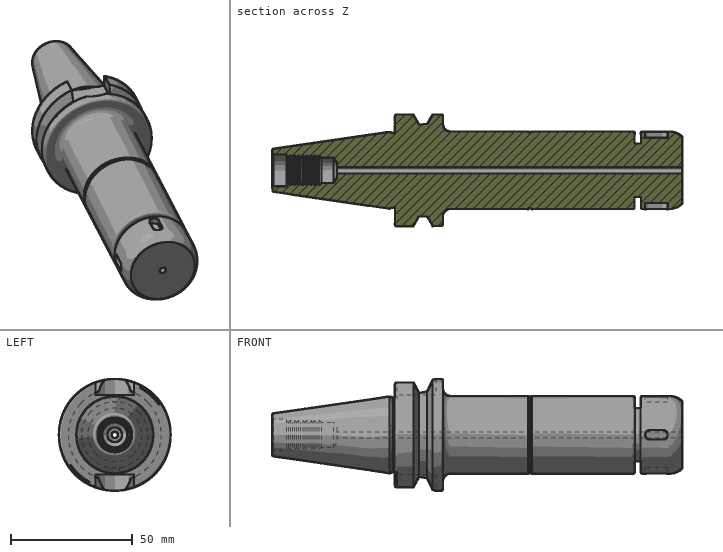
import cadquery as cq
import math

total_length = 168.4
body_radius = 32.0 / 2

shank_taper = 7 / 48
shank_length = 48.2
shank_big_radius = 15.8
shank_small_radius = shank_big_radius - shank_length * shank_taper
shank_end_round = 0.8
relief_start = 49.3
relief_radius = 30.8 / 2

flange_start = 50.4
flange_end = 70.2
flange_radius = 46.0 / 2
flange_edge = 1.0
groove_center = 62.0
groove_floor_width = 3.4
groove_radius = 19.0
groove_flank = (flange_radius - groove_radius) * math.tan(math.radians(30))
flange_fillet = 2.9

keyway_width = 16.0
keyway_end = 67.2
keyway_floor = 16.3

body_end = 148.9
body_edge = 1.0
seam_start = 105.0
seam_width = 1.5
seam_depth = 0.5

neck_radius = 22.0 / 2
nut_start = 151.2
nut_edge = 1.0
nut_round_start = 163.0
nut_face_radius = 13.6
nut_slot_count = 4
nut_slot_start = 153.0
nut_slot_length = 9.3
nut_slot_width = 3.9
nut_slot_depth = 2.5

mouth_radius = 13.0 / 2
mouth_chamfer = 0.7
mouth_depth = 5.9
thread_major_radius = 12.0 / 2
thread_minor_radius = 10.3 / 2
thread_pitch = 1.7
thread_count = 8
tap_depth = 25.3
drill_tip_radius = 6.0 / 2
drill_tip_length = 1.3
coolant_radius = 2.5 / 2


def revolve(outline):
    """Turn a closed (x, radius) outline about the X axis."""
    return outline.close().revolve(360, (0, 0, 0), (1, 0, 0))


def make_turned_body():
    """Solid holder and nut, before any cuts."""
    groove_left = groove_center - groove_floor_width / 2
    groove_right = groove_center + groove_floor_width / 2
    seam_middle = seam_start + seam_width / 2
    round_length = total_length - nut_round_start
    round_drop = body_radius - nut_face_radius
    round_radius = (round_length**2 + round_drop**2) / (2 * round_drop)
    half_length = round_length / 2
    half_drop = round_radius - math.sqrt(round_radius**2 - half_length**2)
    outline = (
        cq.Workplane("XY")
        .moveTo(0, 0)
        .lineTo(0, shank_small_radius - shank_end_round)
        .tangentArcPoint((shank_end_round, shank_end_round * (1 + shank_taper)))
        .lineTo(shank_length, shank_big_radius)
        .lineTo(relief_start, relief_radius)
        .lineTo(flange_start, relief_radius)
        .lineTo(flange_start, flange_radius - flange_edge)
        .radiusArc((flange_start + flange_edge, flange_radius), flange_edge)
        .lineTo(groove_left - groove_flank, flange_radius)
        .lineTo(groove_left, groove_radius)
        .lineTo(groove_right, groove_radius)
        .lineTo(groove_right + groove_flank, flange_radius)
        .lineTo(flange_end - flange_edge, flange_radius)
        .radiusArc((flange_end, flange_radius - flange_edge), flange_edge)
        .lineTo(flange_end, body_radius + flange_fillet)
        .radiusArc((flange_end + flange_fillet, body_radius), -flange_fillet)
        .lineTo(seam_start, body_radius)
        .lineTo(seam_middle, body_radius - seam_depth)
        .lineTo(seam_start + seam_width, body_radius)
        .lineTo(body_end - body_edge, body_radius)
        .radiusArc((body_end, body_radius - body_edge), body_edge)
        .lineTo(body_end, neck_radius)
        .lineTo(nut_start, neck_radius)
        .lineTo(nut_start, body_radius - nut_edge)
        .radiusArc((nut_start + nut_edge, body_radius), nut_edge)
        .lineTo(nut_round_start, body_radius)
        .threePointArc(
            (nut_round_start + half_length, body_radius - half_drop),
            (total_length, nut_face_radius),
        )
        .lineTo(total_length, 0)
    )
    return revolve(outline)


def make_keyway():
    """Cutter for the upper keyway: open toward the shank, round at the far end."""
    straight_end = keyway_end - keyway_width / 2
    height = flange_radius - keyway_floor
    return (
        cq.Workplane("XY", origin=(0, 0, keyway_floor))
        .moveTo(flange_start, -keyway_width / 2)
        .lineTo(straight_end, -keyway_width / 2)
        .threePointArc((keyway_end, 0), (straight_end, keyway_width / 2))
        .lineTo(flange_start, keyway_width / 2)
        .close()
        .extrude(height)
    )


def make_nut_slot():
    """Cutter for the wrench slot at the top of the nut."""
    slot_center = nut_slot_start + nut_slot_length / 2
    return (
        cq.Workplane("XY", origin=(slot_center, 0, body_radius - nut_slot_depth))
        .slot2D(nut_slot_length, nut_slot_width)
        .extrude(2 * nut_slot_depth)
    )


def make_bore():
    """Cutter for the threaded shank bore and the coolant hole through to the nut."""
    outline = (
        cq.Workplane("XY")
        .moveTo(0, 0)
        .lineTo(0, mouth_radius + mouth_chamfer)
        .lineTo(mouth_chamfer, mouth_radius)
        .lineTo(mouth_depth, mouth_radius)
        .lineTo(mouth_depth, thread_major_radius)
    )
    for turn in range(thread_count):
        turn_start = mouth_depth + turn * thread_pitch
        outline = outline.lineTo(turn_start + thread_pitch / 2, thread_minor_radius)
        outline = outline.lineTo(turn_start + thread_pitch, thread_major_radius)
    thread_end = mouth_depth + thread_count * thread_pitch
    outline = (
        outline.lineTo(thread_end + thread_pitch / 2, thread_minor_radius)
        .lineTo(tap_depth, thread_minor_radius)
        .lineTo(tap_depth + drill_tip_length, drill_tip_radius)
        .lineTo(tap_depth + drill_tip_length, coolant_radius)
        .lineTo(total_length, coolant_radius)
        .lineTo(total_length, 0)
    )
    return revolve(outline)


result = make_turned_body().cut(make_bore())
for side in range(2):
    result = result.cut(make_keyway().rotate((0, 0, 0), (1, 0, 0), 180 * side))
for index in range(nut_slot_count):
    angle = 360 / nut_slot_count * index
    result = result.cut(make_nut_slot().rotate((0, 0, 0), (1, 0, 0), angle))